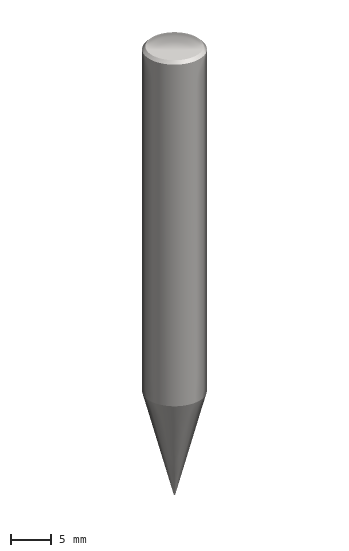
import cadquery as cq
import math

total_length = 63.0
shank_diameter = 8.0
tip_diameter = 0.2
point_angle = 30.0
top_chamfer = 0.405

shank_radius = shank_diameter / 2
tip_radius = tip_diameter / 2
point_length = (shank_radius - tip_radius) / math.tan(math.radians(point_angle / 2))

half_section = (
    cq.Workplane("XZ")
    .moveTo(0, 0)
    .lineTo(tip_radius, 0)
    .lineTo(shank_radius, point_length)
    .lineTo(shank_radius, total_length - top_chamfer)
    .lineTo(shank_radius - top_chamfer, total_length)
    .lineTo(0, total_length)
    .close()
)

result = half_section.revolve(360, (0, 0, 0), (0, 1, 0))